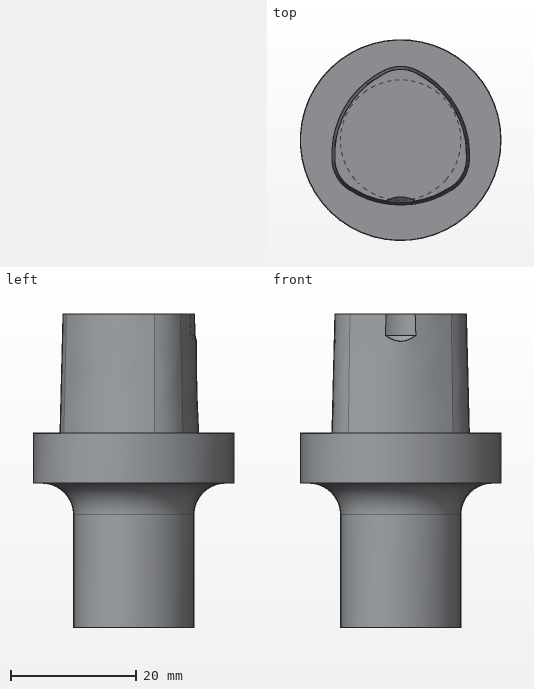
import cadquery as cq
import math

total_height = 50.0
polygon_height = 19.0
flange_thickness = 8.0
flange_top = total_height - polygon_height
flange_bottom = flange_top - flange_thickness

shank_radius = 19.2 / 2
flange_radius = 32.0 / 2
neck_fillet_radius = 5.0

lobe_count = 3
polygon_mean_radius = 11.05
polygon_eccentricity = 0.7
tip_centre_offset = 5.87
taper_angle = math.degrees(math.atan(1 / 40))

notch_radius = 4.5
notch_depth = 3.45
notch_wall_y = -9.05
notch_point_half_angle = 45.0


def polar_point(radius, angle):
    """XY point at a radius and an angle in degrees."""
    return (radius * math.cos(math.radians(angle)), radius * math.sin(math.radians(angle)))


def turned_body():
    """Shank, concave neck and flange as one revolved profile."""
    neck_start = flange_bottom - neck_fillet_radius
    arc_offset = neck_fillet_radius * (1 - math.sqrt(0.5))
    profile = (
        cq.Workplane("XZ")
        .lineTo(shank_radius, 0)
        .lineTo(shank_radius, neck_start)
        .threePointArc(
            (shank_radius + arc_offset, flange_bottom - arc_offset),
            (shank_radius + neck_fillet_radius, flange_bottom),
        )
        .lineTo(flange_radius, flange_bottom)
        .lineTo(flange_radius, flange_top)
        .lineTo(0, flange_top)
        .close()
    )
    return profile.revolve(360, (0, 0, 0), (0, 1, 0))


def tapered_polygon():
    """Tapered prism whose outline is six tangent arcs: three tight corners, three wide flanks."""
    tip_radius = polygon_mean_radius + polygon_eccentricity
    flank_radius = polygon_mean_radius - polygon_eccentricity
    corner_arc_radius = tip_radius - tip_centre_offset

    radius_gap = flank_radius - corner_arc_radius
    flank_centre_offset = (
        (tip_centre_offset**2 - radius_gap**2) / (2 * radius_gap - tip_centre_offset)
    )
    centre_distance = radius_gap + flank_centre_offset

    lobe_pitch = 360.0 / lobe_count
    half_pitch = lobe_pitch / 2
    sin_span = flank_centre_offset * math.sin(math.radians(half_pitch)) / centre_distance
    corner_span = math.asin(sin_span)
    joint_along = tip_centre_offset + corner_arc_radius * math.cos(corner_span)
    joint_across = corner_arc_radius * sin_span
    joint_radius = math.hypot(joint_along, joint_across)
    joint_angle = math.degrees(math.atan2(joint_across, joint_along))

    first_tip_angle = 90.0
    outline = cq.Workplane("XY", origin=(0, 0, flange_top))
    outline = outline.moveTo(*polar_point(joint_radius, first_tip_angle - joint_angle))
    for lobe in range(lobe_count):
        tip_angle = first_tip_angle + lobe * lobe_pitch
        next_tip_angle = tip_angle + lobe_pitch
        outline = outline.threePointArc(
            polar_point(tip_radius, tip_angle),
            polar_point(joint_radius, tip_angle + joint_angle),
        )
        outline = outline.threePointArc(
            polar_point(flank_radius, tip_angle + half_pitch),
            polar_point(joint_radius, next_tip_angle - joint_angle),
        )
    return outline.close().extrude(polygon_height, taper=taper_angle)


def notch_cutter():
    """Vertical drill with a conical point, its axis standing outside the polygon."""
    axis_y = notch_wall_y - notch_radius
    point_length = notch_radius / math.tan(math.radians(notch_point_half_angle))
    shoulder = total_height - notch_depth
    profile = (
        cq.Workplane("XZ", origin=(0, axis_y, 0))
        .moveTo(0, shoulder - point_length)
        .lineTo(notch_radius, shoulder)
        .lineTo(notch_radius, total_height)
        .lineTo(0, total_height)
        .close()
    )
    return profile.revolve(360, (0, 0, 0), (0, 1, 0))


result = turned_body().union(tapered_polygon()).cut(notch_cutter())